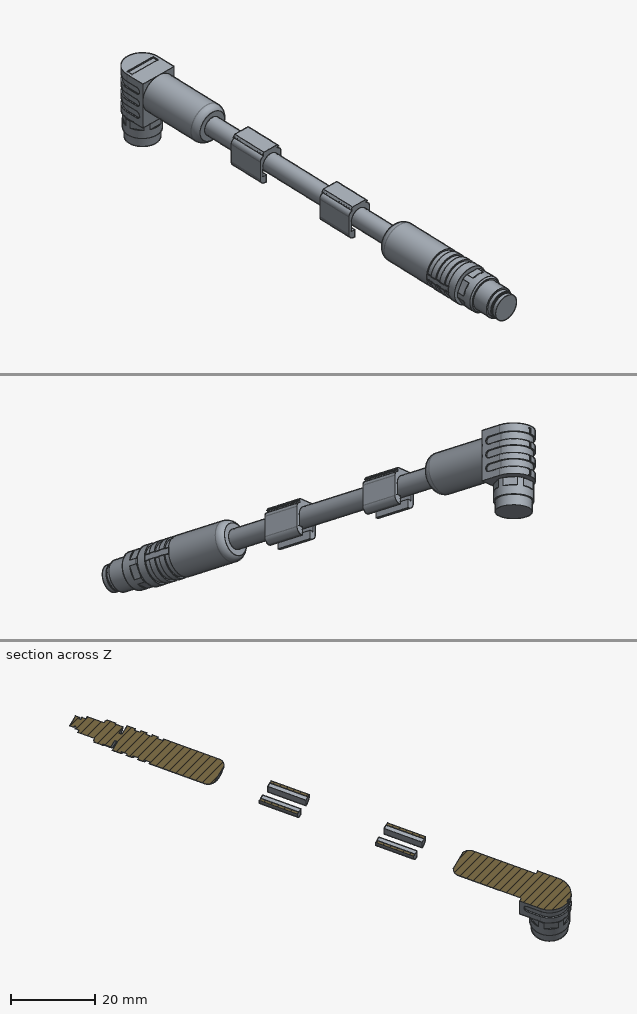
import cadquery as cq
import math

overall_length = 129.9
overall_height = 20.7
body_diameter = 10.3
body_radius = body_diameter / 2
cable_diameter = 5.1
neck_diameter = 6.5
cable_end_diameter = 8.0
sleeve_round_length = 2.0

elbow_length = 10.7
elbow_bottom = -7.8
elbow_sleeve_end = 29.1
plug_axis_x = body_radius
plug_bottom = body_radius - overall_height
plug_nut_top = -8.5
plug_nut_shoulder = -12.9
plug_nut_tip_diameter = 8.8
slot_width = 2.0
slot_depth = 0.4
slot_end_x = 9.5
slot_heights = (2.1, -1.4, -5.0)
notch_width = 0.6
notch_bottom = -7.4
notch_top = 4.5
mark_x = 5.2
mark_width = 1.7
mark_length = 8.6
mark_depth = 0.4

nut_diameter = 9.6
nut_flat_count = 6
nut_across_flats = 9.0
nut_flat_length = 2.1

straight_start = 91.5
straight_body_end = 117.5
straight_nut_start = 118.2
straight_nut_end = 122.9
straight_nut_chamfer = 0.4
barrel_end = 127.3
barrel_diameter = 8.0
tip_diameter = 6.9
tip_collar_end = 128.3
tip_collar_diameter = 7.1
tip_groove_end = 128.7
tip_groove_diameter = 6.5
grip_start = 108.0
grip_recess_width = 1.4
grip_pitch = 3.0
grip_recess_count = 3
grip_depth = 0.4
grip_bar_height = 1.5
grip_bar_flat = 5.0

clip_starts = (39.1, 69.5)
clip_length = 10.0
clip_half_width = 3.4
clip_top = 4.0
clip_bottom = -body_radius
clip_flat_top = 1.7
clip_flat_bottom = -3.5
clip_plate_half_width = 2.2
clip_rim_half_width = 2.7
clip_rim_height = 3.4
clip_groove_half_width = 2.3
clip_groove_bottom = 3.0
clip_foot_half_width = 2.0
clip_mouth_width = 2.9
clip_shoulder_middle = (3.1, 2.5)
clip_foot_middle = (3.0, -4.5)
clip_channel_bottom = -3.0


def x_cylinder(start, end, diameter):
    return cq.Workplane("YZ", origin=(start, 0, 0)).circle(diameter / 2).extrude(end - start)


def z_cylinder(bottom, top, diameter):
    return cq.Workplane("XY", origin=(plug_axis_x, 0, bottom)).circle(diameter / 2).extrude(top - bottom)


def box(x_range, y_range, z_range):
    sizes = [high - low for low, high in (x_range, y_range, z_range)]
    return cq.Workplane("XY").box(*sizes, centered=False).translate((x_range[0], y_range[0], z_range[0]))


def rounded_sleeve(cable_end, plug_end):
    """Round sleeve around the cable, rounded down to a smaller diameter at its cable end."""
    direction = math.copysign(1, plug_end - cable_end)
    end_radius = cable_end_diameter / 2
    round_end = cable_end + direction * sleeve_round_length
    drop = body_radius - end_radius
    arc_radius = (sleeve_round_length**2 + drop**2) / (2 * drop)
    half_sweep = math.asin(sleeve_round_length / arc_radius) / 2
    middle = (
        round_end - direction * arc_radius * math.sin(half_sweep),
        body_radius - arc_radius * (1 - math.cos(half_sweep)),
    )
    return (
        cq.Workplane("XZ")
        .moveTo(cable_end, 0)
        .lineTo(cable_end, end_radius)
        .threePointArc(middle, (round_end, body_radius))
        .lineTo(plug_end, body_radius)
        .lineTo(plug_end, 0)
        .close()
        .revolve(360, (0, 0, 0), (1, 0, 0))
    )


def hexagon_grip(length):
    """Ring that trims the end of a nut, leaving six flats; one flat faces local -X."""
    corner_diameter = nut_across_flats / math.cos(math.pi / nut_flat_count)
    hexagon = cq.Workplane("XY").polygon(nut_flat_count, corner_diameter).extrude(length)
    hexagon = hexagon.rotate((0, 0, 0), (0, 0, 1), 180 / nut_flat_count)
    return cq.Workplane("XY").circle(nut_diameter).extrude(length).cut(hexagon)


def half_round_block(inset, end_x, bottom, top):
    """Upright block with a half-round -X side and a flat +X side."""
    radius = body_radius - inset
    return (
        cq.Workplane("XY", origin=(0, 0, bottom))
        .moveTo(end_x, radius)
        .lineTo(plug_axis_x, radius)
        .threePointArc((plug_axis_x - radius, 0), (plug_axis_x, -radius))
        .lineTo(end_x, -radius)
        .close()
        .extrude(top - bottom)
    )


def elbow_housing():
    housing = half_round_block(0, elbow_length, elbow_bottom, body_radius)
    core = half_round_block(slot_depth, elbow_length, elbow_bottom, body_radius)
    for height in slot_heights:
        end_center_x = slot_end_x - slot_width / 2
        bottom = height - slot_width / 2
        band = box((0, end_center_x), (-body_radius, body_radius), (bottom, bottom + slot_width))
        round_end = (
            cq.Workplane("XZ", origin=(end_center_x, body_radius, height))
            .circle(slot_width / 2)
            .extrude(body_diameter)
        )
        housing = housing.cut(band.union(round_end).cut(core))
    notch = box((0, slot_depth), (-notch_width / 2, notch_width / 2), (notch_bottom, notch_top))
    mark = box(
        (mark_x - mark_width / 2, mark_x + mark_width / 2),
        (-mark_length / 2, mark_length / 2),
        (body_radius - mark_depth, body_radius),
    )
    return housing.cut(notch).cut(mark)


def elbow_nut():
    nut = z_cylinder(plug_nut_shoulder, plug_nut_top, nut_diameter)
    flats = hexagon_grip(nut_flat_length).translate((plug_axis_x, 0, plug_nut_top - nut_flat_length))
    tip = z_cylinder(plug_bottom, plug_nut_shoulder, plug_nut_tip_diameter)
    neck = z_cylinder(plug_nut_top, elbow_bottom, neck_diameter)
    return nut.cut(flats).union(tip).union(neck)


def straight_plug_body():
    body = rounded_sleeve(straight_start, straight_body_end)
    side_bars = box(
        (straight_start, straight_body_end),
        (-body_radius, body_radius),
        (-grip_bar_height / 2, grip_bar_height / 2),
    )
    for index in range(grip_recess_count):
        start = grip_start + index * grip_pitch
        end = start + grip_recess_width
        ring = x_cylinder(start, end, body_diameter).cut(
            x_cylinder(start, end, body_diameter - 2 * grip_depth)
        )
        body = body.cut(ring.cut(side_bars))
    grip_end = grip_start + (grip_recess_count - 1) * grip_pitch + grip_recess_width
    bar_faces = box(
        (grip_start, grip_end),
        (grip_bar_flat, body_radius),
        (-grip_bar_height / 2, grip_bar_height / 2),
    )
    return body.cut(bar_faces).cut(bar_faces.mirror("XZ"))


def straight_plug_front():
    nut = x_cylinder(straight_nut_start, straight_nut_end, nut_diameter)
    nut = nut.faces(">X").chamfer(straight_nut_chamfer)
    flats = hexagon_grip(nut_flat_length).rotate((0, 0, 0), (0, 1, 0), 90)
    nut = nut.cut(flats.translate((straight_nut_start, 0, 0)))
    neck = x_cylinder(straight_body_end, straight_nut_start, neck_diameter)
    barrel = x_cylinder(straight_nut_end, barrel_end, barrel_diameter)
    tip_collar = x_cylinder(barrel_end, tip_collar_end, tip_collar_diameter)
    tip_groove = x_cylinder(tip_collar_end, tip_groove_end, tip_groove_diameter)
    tip = x_cylinder(tip_groove_end, overall_length, tip_diameter)
    return neck.union(nut).union(barrel).union(tip_collar).union(tip_groove).union(tip)


def label_clip(start):
    """Clip hugging the cable, with a label plate on top and two legs curling in below."""
    half_clip = (
        cq.Workplane("YZ", origin=(start, 0, 0))
        .moveTo(0, clip_top)
        .lineTo(clip_plate_half_width, clip_top)
        .lineTo(clip_rim_half_width, clip_rim_height)
        .lineTo(clip_groove_half_width, clip_rim_height)
        .lineTo(clip_groove_half_width, clip_groove_bottom)
        .threePointArc(clip_shoulder_middle, (clip_half_width, clip_flat_top))
        .lineTo(clip_half_width, clip_flat_bottom)
        .threePointArc(clip_foot_middle, (clip_foot_half_width, clip_bottom))
        .lineTo(0, clip_bottom)
        .close()
        .extrude(clip_length)
    )
    end = start + clip_length
    half_channel = cable_diameter / 2
    clip = half_clip.union(half_clip.mirror("XZ"))
    channel = box((start, end), (-half_channel, half_channel), (clip_channel_bottom, 0))
    mouth = box((start, end), (-clip_mouth_width / 2, clip_mouth_width / 2), (clip_bottom, 0))
    return clip.cut(channel).cut(mouth)


clips = [label_clip(start) for start in clip_starts]
result = elbow_housing().union(elbow_nut()).union(rounded_sleeve(elbow_sleeve_end, elbow_length))
for clip in clips:
    result = result.union(clip)
result = result.union(x_cylinder(elbow_sleeve_end, straight_start, cable_diameter))
result = result.union(straight_plug_body()).union(straight_plug_front())